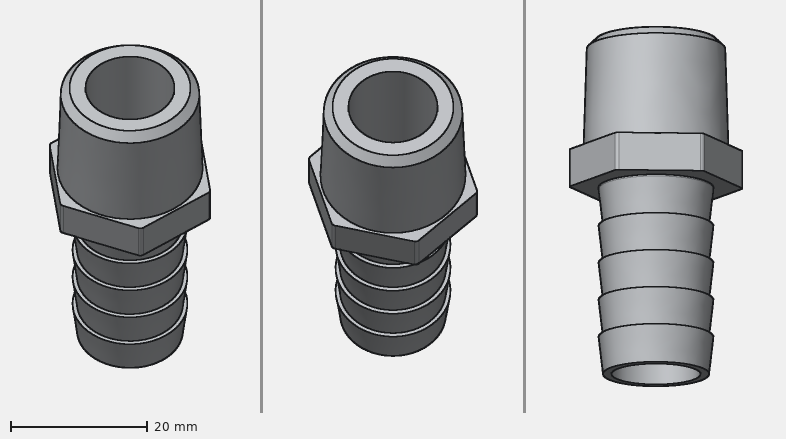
import cadquery as cq

total_height = 50.35
bore_radius = 6.55

hex_across_flats = 22.2
hex_bottom = 28.15
hex_top = 33.8
hex_corner_radius = 0.7

spigot_base_radius = 10.7
spigot_taper = 1 / 16
spigot_chamfer_height = 1.25
spigot_chamfer_width = 1.3

barb_count = 5
barb_pitch = 5.6
barb_tip_radius = 8.45
barb_root_radius = 7.8


def make_spigot():
    """Tapered spigot with a chamfered mouth."""
    chamfer_bottom = total_height - spigot_chamfer_height
    shoulder_radius = spigot_base_radius - spigot_taper * (chamfer_bottom - hex_top) / 2
    return (
        cq.Workplane("XZ")
        .moveTo(0, hex_top)
        .lineTo(spigot_base_radius, hex_top)
        .lineTo(shoulder_radius, chamfer_bottom)
        .lineTo(shoulder_radius - spigot_chamfer_width, total_height)
        .lineTo(0, total_height)
        .close()
        .revolve(360, (0, 0, 0), (0, 1, 0))
    )


def make_collar():
    """Hexagonal collar with rounded vertical corners."""
    return (
        cq.Workplane("XY")
        .workplane(offset=hex_bottom)
        .polygon(6, hex_across_flats, circumscribed=True)
        .extrude(hex_top - hex_bottom)
        .edges("|Z")
        .fillet(hex_corner_radius)
    )


def make_hose_tail():
    """Stack of cones that widen upwards, and a short neck up to the collar."""
    profile = cq.Workplane("XZ").moveTo(0, 0)
    for i in range(barb_count):
        profile = profile.lineTo(barb_root_radius, i * barb_pitch)
        profile = profile.lineTo(barb_tip_radius, (i + 1) * barb_pitch)
    return (
        profile.lineTo(barb_tip_radius, hex_bottom)
        .lineTo(0, hex_bottom)
        .close()
        .revolve(360, (0, 0, 0), (0, 1, 0))
    )


bore = cq.Workplane("XY").circle(bore_radius).extrude(total_height)

result = make_hose_tail().union(make_collar()).union(make_spigot()).cut(bore)